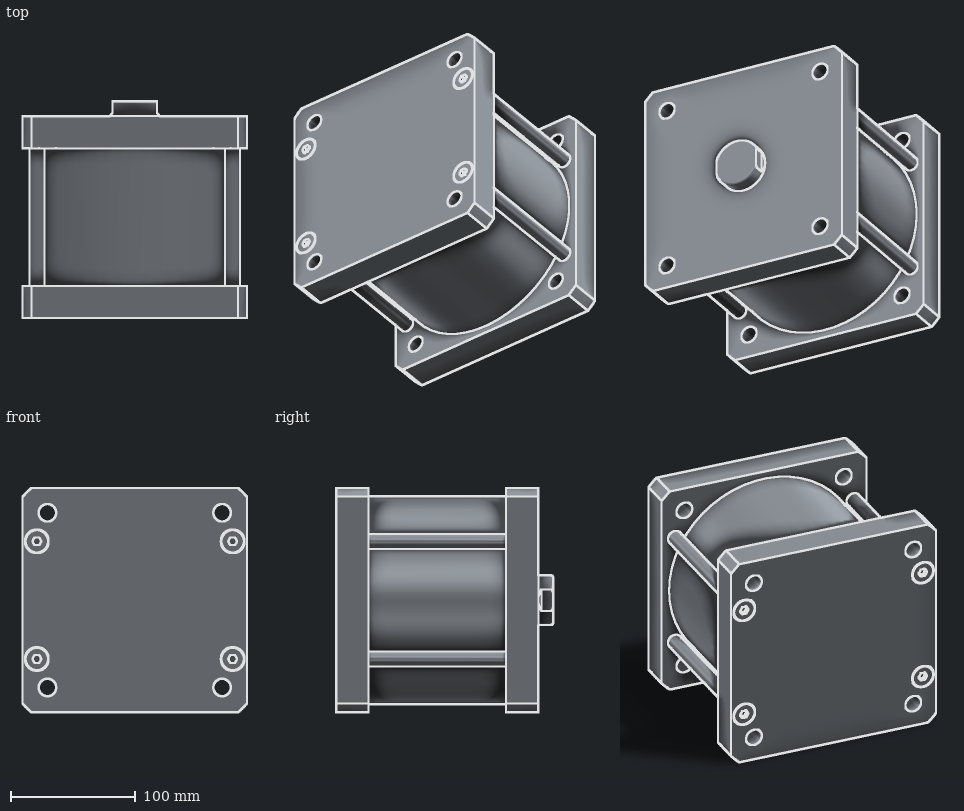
import cadquery as cq
import math

PLATE_SIDE = 180.0
PLATE_THICKNESS = 26.0
PLATE_TURNED_DIAMETER = 244.8
BODY_LENGTH = 162.0

TUBE_DIAMETER = 167.0

ROD_DIAMETER = 12.0
ROD_OFFSET_X = 78.5
ROD_OFFSET_Z = 47.2
HEAD_DIAMETER = 18.0
COUNTERBORE_DIAMETER = 19.0
COUNTERBORE_DEPTH = 7.2
SOCKET_ACROSS_FLATS = 6.3
SOCKET_DEPTH = 3.6

MOUNT_HOLE_DIAMETER = 13.9
MOUNT_HOLE_OFFSET = 70.0

PISTON_DIAMETER = 40.0
PISTON_PROJECTION = 12.0
PISTON_ACROSS_FLATS = 36.0
FLAT_RUNOUT_LENGTH = 2.5
TIP_FILLET = 2.0

REAR_PLATE_START = BODY_LENGTH - PLATE_THICKNESS
TUBE_LENGTH = BODY_LENGTH - 2 * PLATE_THICKNESS
PISTON_TIP = BODY_LENGTH + PISTON_PROJECTION


def plane_at(y):
    """XZ plane at the given Y whose extrusions run toward +Y and whose local x is -X."""
    return cq.Workplane(cq.Plane(origin=(0, y, 0), xDir=(-1, 0, 0), normal=(0, 1, 0)))


def four_corners(offset_x, offset_z):
    return [(sx * offset_x, sz * offset_z) for sx in (-1, 1) for sz in (-1, 1)]


def end_plate(start):
    square = plane_at(start).rect(PLATE_SIDE, PLATE_SIDE).extrude(PLATE_THICKNESS)
    disc = plane_at(start).circle(PLATE_TURNED_DIAMETER / 2).extrude(PLATE_THICKNESS)
    return square.intersect(disc)


def piston_end():
    shaft = plane_at(BODY_LENGTH).circle(PISTON_DIAMETER / 2).extrude(PISTON_PROJECTION)
    shaft = shaft.faces(">Y").edges().fillet(TIP_FILLET)

    flat = PISTON_ACROSS_FLATS / 2
    radius = PISTON_DIAMETER / 2
    flat_start = BODY_LENGTH + FLAT_RUNOUT_LENGTH
    profile = [
        (-radius, BODY_LENGTH),
        (radius, BODY_LENGTH),
        (flat, flat_start),
        (flat, PISTON_TIP),
        (-flat, PISTON_TIP),
        (-flat, flat_start),
    ]
    envelope = cq.Workplane("XY").polyline(profile).close().extrude(radius, both=True)
    return shaft.intersect(envelope)


def screw_recesses():
    """Clearance ring around each screw head, plus its hexagon socket."""
    points = four_corners(ROD_OFFSET_X, ROD_OFFSET_Z)
    rings = (
        plane_at(0)
        .pushPoints(points)
        .circle(COUNTERBORE_DIAMETER / 2)
        .circle(HEAD_DIAMETER / 2)
        .extrude(COUNTERBORE_DEPTH)
    )
    across_corners = SOCKET_ACROSS_FLATS / math.cos(math.pi / 6)
    sockets = plane_at(0).pushPoints(points).polygon(6, across_corners).extrude(SOCKET_DEPTH)
    return rings.union(sockets)


tube = plane_at(PLATE_THICKNESS).circle(TUBE_DIAMETER / 2).extrude(TUBE_LENGTH)
tie_rods = (
    plane_at(PLATE_THICKNESS)
    .pushPoints(four_corners(ROD_OFFSET_X, ROD_OFFSET_Z))
    .circle(ROD_DIAMETER / 2)
    .extrude(TUBE_LENGTH)
)
mount_holes = (
    plane_at(0)
    .pushPoints(four_corners(MOUNT_HOLE_OFFSET, MOUNT_HOLE_OFFSET))
    .circle(MOUNT_HOLE_DIAMETER / 2)
    .extrude(BODY_LENGTH)
)

result = (
    end_plate(0)
    .union(tube)
    .union(tie_rods)
    .union(end_plate(REAR_PLATE_START))
    .union(piston_end())
    .cut(mount_holes)
    .cut(screw_recesses())
)